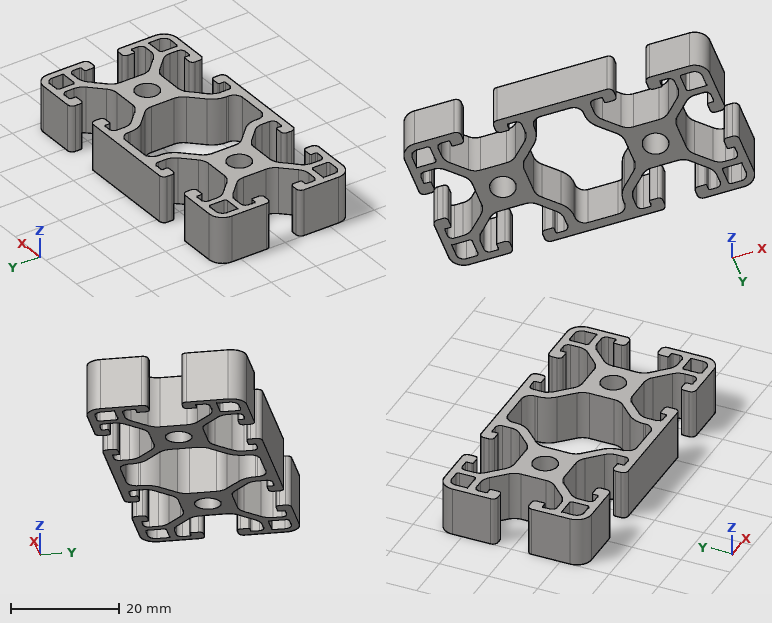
import cadquery as cq
import math


cell = 30.0
length = 2 * cell
height = 10.0
half_cell = cell / 2
outer_radius = 3.0
bore_diameter = 4.9

core_half = 5.1
rib_offset = 1.3
skin = 1.5
lip_depth = 2.9
opening_half = 3.2
hook_half = 5.65
slot_half = 8.2
slot_bend_radius = 3.0

lip_radius = 1.0
lip_inner_radius = 0.8
hook_radius = 0.25
pocket_radius = 1.0

cavity_half_width = 4.85
cavity_skin = 1.85
cavity_corner_radius = 1.9
cavity_rib_radius = 4.8
cavity_core_radius = 3.0

hollow_far = 5.4
hollow_outer_radius = 1.5
hollow_side_radius = 0.5

cutter_overrun = 0.6


def corner_arc(before, corner, after, radius):
    """Start, middle and end of the arc that rounds one corner of an outline."""
    to_before = (before - corner).normalized()
    to_after = (after - corner).normalized()
    half_angle = to_before.getAngle(to_after) / 2
    setback = radius / math.tan(half_angle)
    middle_distance = radius / math.sin(half_angle) - radius
    start = corner + to_before * setback
    middle = corner + (to_before + to_after).normalized() * middle_distance
    end = corner + to_after * setback
    return start, middle, end


def rounded_prism(corners):
    """Full-height prism on (x, y, radius) corners; the first corner must be sharp (radius 0)."""
    points = [cq.Vector(x, y) for x, y, _ in corners]
    outline = cq.Workplane("XY").moveTo(points[0].x, points[0].y)
    for i in range(1, len(corners)):
        radius = corners[i][2]
        if radius == 0:
            outline = outline.lineTo(points[i].x, points[i].y)
            continue
        after = points[(i + 1) % len(points)]
        start, middle, end = corner_arc(points[i - 1], points[i], after, radius)
        outline = outline.lineTo(start.x, start.y)
        outline = outline.threePointArc((middle.x, middle.y), (end.x, end.y))
    return outline.close().extrude(height)


def slot_cutter():
    """T-slot open toward +Y, for a cell centred on the origin."""
    lip_floor = half_cell - lip_depth
    pocket_top = half_cell - skin
    flare_half = opening_half + 2 * lip_radius
    right_half = [
        (flare_half, half_cell + cutter_overrun, 0),
        (flare_half, half_cell, 0),
        (opening_half, half_cell, lip_radius),
        (opening_half, lip_floor, lip_inner_radius),
        (hook_half, lip_floor, hook_radius),
        (hook_half, pocket_top, hook_radius),
        (slot_half, pocket_top, pocket_radius),
        (slot_half, slot_half + rib_offset, slot_bend_radius),
        (core_half - rib_offset, core_half, slot_bend_radius),
    ]
    left_half = [(-x, y, radius) for x, y, radius in reversed(right_half)]
    return rounded_prism(right_half + left_half)


def central_cavity():
    """Cavity bounded by the two cores, their diagonal ribs and the long side walls."""
    core_x = half_cell - core_half
    core_y = core_half - rib_offset
    rib_y = half_cell - cavity_half_width - rib_offset
    top_y = half_cell - cavity_skin
    upper_right = [
        (core_x, 0, 0),
        (core_x, core_y, cavity_core_radius),
        (cavity_half_width, rib_y, cavity_rib_radius),
        (cavity_half_width, top_y, cavity_corner_radius),
    ]
    upper_left = [(-x, y, radius) for x, y, radius in reversed(upper_right)]
    upper = rounded_prism(upper_right + upper_left)
    return upper.union(upper.mirror("XZ"))


def corner_hollow():
    """Through hollow in the +X +Y corner of the profile."""
    outer_x = length / 2 - skin
    outer_y = half_cell - skin
    inner_x = length / 2 - hollow_far
    inner_y = half_cell - hollow_far
    return rounded_prism([
        (outer_x, inner_y, 0),
        (outer_x, outer_y, hollow_outer_radius),
        (inner_x, outer_y, hollow_side_radius),
        (inner_x, inner_y, hollow_side_radius),
    ])


profile = cq.Workplane("XY").rect(length, cell).extrude(height)
profile = profile.edges("|Z").fillet(outer_radius)

slot = slot_cutter()
slot_places = [
    (-half_cell, 0),
    (-half_cell, 90),
    (-half_cell, 180),
    (half_cell, 0),
    (half_cell, -90),
    (half_cell, 180),
]
for cell_x, turn in slot_places:
    turned_slot = slot.rotate((0, 0, 0), (0, 0, 1), turn)
    profile = profile.cut(turned_slot.translate((cell_x, 0, 0)))

profile = profile.cut(central_cavity())

right_hollows = corner_hollow()
right_hollows = right_hollows.union(right_hollows.mirror("XZ"))
profile = profile.cut(right_hollows).cut(right_hollows.mirror("YZ"))

bores = (
    cq.Workplane("XY")
    .pushPoints([(-half_cell, 0), (half_cell, 0)])
    .circle(bore_diameter / 2)
    .extrude(height)
)
result = profile.cut(bores)